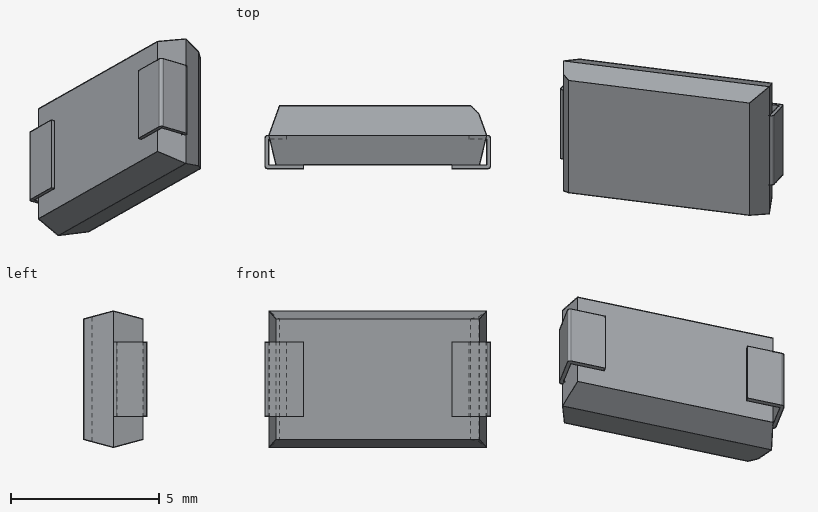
import cadquery as cq

case_length = 7.34
case_height = 4.6
half_depth = 1.0
front_end_taper = 0.24
back_end_taper = 0.36
side_taper = 0.27
polarity_bevel_setback = 0.18

lead_thickness = 0.13
lead_width = 2.5
foot_length = 1.3
bend_radius = 0.1
arm_insertion = 0.6

overall_length = case_length + 2 * lead_thickness

foot_front_y = 0.0
case_front_y = foot_front_y + lead_thickness
parting_y = case_front_y + half_depth
case_back_y = parting_y + half_depth


def make_tapered_half(outer_y, end_taper):
    """Half of the case, widest at the parting plane and tapering to outer_y."""
    return (
        cq.Workplane("XZ", origin=(0, parting_y, 0))
        .rect(case_length, case_height)
        .workplane(offset=parting_y - outer_y)
        .rect(case_length - 2 * end_taper, case_height - 2 * side_taper)
        .loft(ruled=True)
    )


def make_polarity_bevel_cutter():
    """Wedge along the full height that removes the +X back edge at 45 degrees."""
    bevel_start_x = case_length / 2 - back_end_taper - polarity_bevel_setback
    reach = case_length / 2 - bevel_start_x
    return (
        cq.Workplane("XY", origin=(0, 0, -case_height / 2))
        .moveTo(bevel_start_x, case_back_y)
        .lineTo(bevel_start_x + reach, case_back_y)
        .lineTo(bevel_start_x + reach, case_back_y - reach)
        .close()
        .extrude(case_height)
    )


def make_left_lead():
    """C-shaped strip at the -X end: foot in front, wall at the end, arm in the case."""
    wall_outer_x = -overall_length / 2
    wall_inner_x = wall_outer_x + lead_thickness
    arm_tip_x = wall_inner_x + arm_insertion
    arm_front_y = parting_y - lead_thickness
    foot_tip_x = wall_outer_x + foot_length
    return (
        cq.Workplane("XY", origin=(0, 0, -lead_width / 2))
        .moveTo(arm_tip_x, parting_y)
        .lineTo(wall_outer_x, parting_y)
        .lineTo(wall_outer_x, foot_front_y)
        .lineTo(foot_tip_x, foot_front_y)
        .lineTo(foot_tip_x, case_front_y)
        .lineTo(wall_inner_x, case_front_y)
        .lineTo(wall_inner_x, arm_front_y)
        .lineTo(arm_tip_x, arm_front_y)
        .close()
        .extrude(lead_width)
        .edges("|Z and <X")
        .fillet(bend_radius)
    )


left_lead = make_left_lead()
right_lead = left_lead.mirror("YZ")
leads = [left_lead, right_lead]

front_half = make_tapered_half(case_front_y, front_end_taper)
for lead in leads:
    front_half = front_half.cut(lead)

back_half = make_tapered_half(case_back_y, back_end_taper)
back_half = back_half.cut(make_polarity_bevel_cutter())

bodies = [front_half, back_half, *leads]
result = cq.Compound.makeCompound([body.solids().val() for body in bodies])